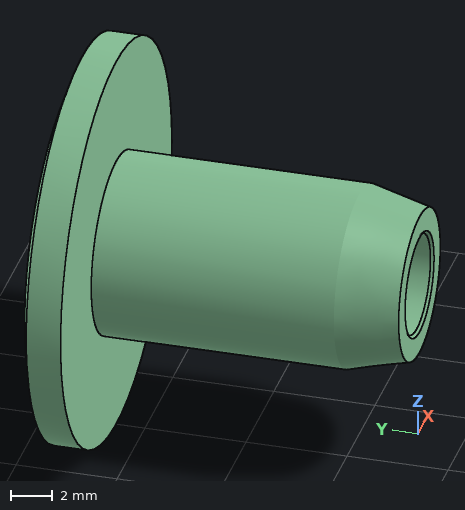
import cadquery as cq

total_length = 17.2
head_diameter = 20.0
head_thickness = 2.2
shank_diameter = 9.0

head_bevel_radial = 1.5
head_bevel_axial = 0.5

tip_diameter = 7.5
tip_length = 3.0

bore_diameter = 4.92
bore_mouth_diameter = 5.2
bore_depth = total_length - head_thickness

head_radius = head_diameter / 2
shank_radius = shank_diameter / 2
bore_radius = bore_diameter / 2
bore_mouth_radius = bore_mouth_diameter / 2
bore_chamfer = bore_mouth_radius - bore_radius


def revolve_about_y(profile):
    """Turn a closed half profile of (radius, y) points about the Y axis."""
    return cq.Workplane("XY").polyline(profile).close().revolve(360, (0, 0, 0), (0, 1, 0))


body = revolve_about_y([
    (0, 0),
    (tip_diameter / 2, 0),
    (shank_radius, tip_length),
    (shank_radius, total_length - head_thickness),
    (head_radius, total_length - head_thickness),
    (head_radius, total_length - head_bevel_axial),
    (head_radius - head_bevel_radial, total_length),
    (0, total_length),
])

bore = revolve_about_y([
    (0, 0),
    (bore_mouth_radius, 0),
    (bore_radius, bore_chamfer),
    (bore_radius, bore_depth),
    (0, bore_depth),
])

result = body.cut(bore)